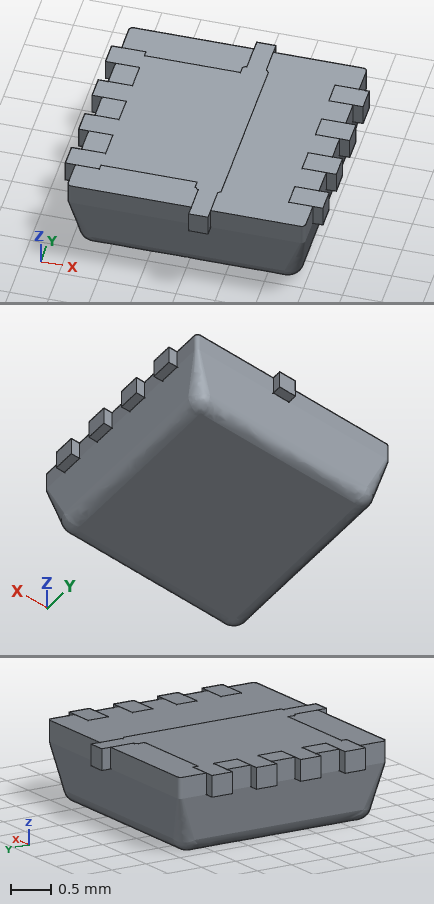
import cadquery as cq

SPAN = 3.3
HEIGHT = 1.04
LEAD_THICKNESS = 0.28
BODY_SIDE = 3.043
PARTING_Z = HEIGHT - LEAD_THICKNESS

BASE_SIDE = 2.81
PARTING_CORNER_RADIUS = 0.053
BASE_CORNER_RADIUS = 0.23
BASE_EDGE_RADIUS = 0.198

LEAD_COUNT = 4
LEAD_PITCH = 0.65
LEAD_WIDTH = 0.3
LEAD_LENGTH = 0.44

DIE_PAD_HALF_WIDTH = 1.053
CROSSBAR_LEFT = 0.02
CROSSBAR_RIGHT = 0.353
CROSSBAR_HALF_LENGTH = 1.18
CROSSBAR_CHAMFER = 0.035
TIE_BAR_LEFT = 0.07
TIE_BAR_WIDTH = 0.248

LEAD_INNER_X = SPAN / 2 - LEAD_LENGTH
LEAD_CENTRES_Y = [(i - (LEAD_COUNT - 1) / 2) * LEAD_PITCH for i in range(LEAD_COUNT)]


def frame_block(x_min, x_max, y_min, y_max):
    """Rectangular block as thick as the leads, flush with the top face."""
    return cq.Workplane("XY").box(
        x_max - x_min, y_max - y_min, LEAD_THICKNESS, centered=False
    ).translate((x_min, y_min, PARTING_Z))


def make_lead(centre_y):
    """Separate lead on the +X side."""
    half_width = LEAD_WIDTH / 2
    return frame_block(LEAD_INNER_X, SPAN / 2, centre_y - half_width, centre_y + half_width)


def make_lead_frame():
    """Die pad with its -X leads, crossbar and tie bar in one piece."""
    frame = frame_block(-LEAD_INNER_X, CROSSBAR_RIGHT, -DIE_PAD_HALF_WIDTH, DIE_PAD_HALF_WIDTH)
    crossbar = frame_block(
        CROSSBAR_LEFT, CROSSBAR_RIGHT, -CROSSBAR_HALF_LENGTH, CROSSBAR_HALF_LENGTH
    ).edges("|Z").chamfer(CROSSBAR_CHAMFER)
    tie_bar = frame_block(TIE_BAR_LEFT, TIE_BAR_LEFT + TIE_BAR_WIDTH, -SPAN / 2, SPAN / 2)
    frame = frame.union(crossbar).union(tie_bar)
    for centre_y in LEAD_CENTRES_Y:
        frame = frame.union(make_lead(centre_y).mirror("YZ"))
    return frame.clean()


def rounded_square(side, corner_radius):
    return cq.Sketch().rect(side, side).vertices().fillet(corner_radius)


def make_housing(inserts):
    """Moulded body: straight upper band, tapered lower bowl, recesses for the metal parts."""
    bowl = (
        cq.Workplane("XY")
        .placeSketch(
            rounded_square(BASE_SIDE, BASE_CORNER_RADIUS),
            rounded_square(BODY_SIDE, PARTING_CORNER_RADIUS).moved(cq.Location((0, 0, PARTING_Z))),
        )
        .loft(ruled=True)
        .faces("<Z").edges().fillet(BASE_EDGE_RADIUS)
    )
    band = (
        cq.Workplane("XY", origin=(0, 0, PARTING_Z))
        .placeSketch(rounded_square(BODY_SIDE, PARTING_CORNER_RADIUS))
        .extrude(LEAD_THICKNESS)
    )
    housing = bowl.union(band)
    for insert in inserts:
        housing = housing.cut(insert)
    return housing


lead_frame = make_lead_frame()
leads = [make_lead(centre_y) for centre_y in LEAD_CENTRES_Y]
housing = make_housing([lead_frame, *leads])

result = cq.Compound.makeCompound([housing.val(), lead_frame.val(), *[lead.val() for lead in leads]])